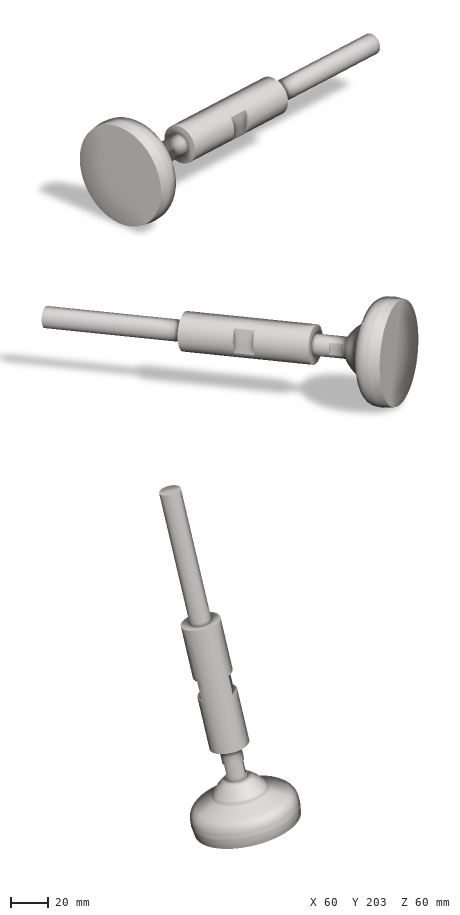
import cadquery as cq

TOTAL_LENGTH = 203.0

FOOT_RADIUS = 30.0
FOOT_BASE_RADIUS = 29.2
FOOT_TAPER_TOP = 6.0
FOOT_WALL_TOP = 9.1
WALL_TOP_RADIUS = 29.8
SHOULDER_RADIUS = 25.2
SHOULDER_HEIGHT = 15.5
SHOULDER_BULGE = (28.2, 13.2)
FLARE_RADIUS = 16.6
FLARE_HEIGHT = 19.5
DOME_BASE_RADIUS = 15.0
DOME_BASE_HEIGHT = 20.7
WAIST_BEND = (15.6, 19.9)
DOME_BULGE = (12.8, 23.8)
DOME_TOP_RADIUS = 10.0
DOME_TOP_HEIGHT = 26.5
LIP_RADIUS = 8.5
LIP_HEIGHT = 27.8
FOOT_HEIGHT = 28.2

SPINDLE_DIAMETER = 12.0
SPINDLE_FLATS_WIDTH = 10.0
SPINDLE_FLATS_LENGTH = 8.0
SPINDLE_FLATS_START = 30.0

SLEEVE_DIAMETER = 22.0
SLEEVE_START = 48.0
SLEEVE_LENGTH = 75.1
SLEEVE_FLATS_WIDTH = 17.0
SLEEVE_FLATS_LENGTH = 11.8
SLEEVE_FLATS_START = SLEEVE_START + (SLEEVE_LENGTH - SLEEVE_FLATS_LENGTH) / 2


def cylinder(diameter, start, length):
    """Cylinder along +Y whose lower end is at Y = start."""
    return cq.Workplane("XZ", origin=(0, start, 0)).circle(diameter / 2).extrude(-length)


def cut_flats(body, diameter, across_flats, start, length):
    """Cut a pair of wrench flats facing -X and +X."""
    depth = (diameter - across_flats) / 2
    for side in (-1, 1):
        cutter = cq.Workplane("XY").box(2 * depth, length, diameter).translate(
            (side * diameter / 2, start + length / 2, 0)
        )
        body = body.cut(cutter)
    return body


def make_foot():
    """Domed levelling foot with a lipped neck."""
    return (
        cq.Workplane("XY")
        .moveTo(0, 0)
        .lineTo(FOOT_BASE_RADIUS, 0)
        .lineTo(FOOT_RADIUS, FOOT_TAPER_TOP)
        .lineTo(WALL_TOP_RADIUS, FOOT_WALL_TOP)
        .threePointArc(SHOULDER_BULGE, (SHOULDER_RADIUS, SHOULDER_HEIGHT))
        .lineTo(FLARE_RADIUS, FLARE_HEIGHT)
        .threePointArc(WAIST_BEND, (DOME_BASE_RADIUS, DOME_BASE_HEIGHT))
        .threePointArc(DOME_BULGE, (DOME_TOP_RADIUS, DOME_TOP_HEIGHT))
        .lineTo(LIP_RADIUS, LIP_HEIGHT)
        .lineTo(SPINDLE_DIAMETER / 2, FOOT_HEIGHT)
        .lineTo(0, FOOT_HEIGHT)
        .close()
        .revolve(360, (0, 0, 0), (0, 1, 0))
    )


def make_spindle():
    """Plain rod with a pair of flats just above the foot."""
    rod = cylinder(SPINDLE_DIAMETER, FOOT_HEIGHT, TOTAL_LENGTH - FOOT_HEIGHT)
    return cut_flats(rod, SPINDLE_DIAMETER, SPINDLE_FLATS_WIDTH, SPINDLE_FLATS_START, SPINDLE_FLATS_LENGTH)


def make_sleeve():
    """Tube around the spindle with a pair of flats at mid-length."""
    bore = cylinder(SPINDLE_DIAMETER, SLEEVE_START, SLEEVE_LENGTH)
    tube = cylinder(SLEEVE_DIAMETER, SLEEVE_START, SLEEVE_LENGTH).cut(bore)
    return cut_flats(tube, SLEEVE_DIAMETER, SLEEVE_FLATS_WIDTH, SLEEVE_FLATS_START, SLEEVE_FLATS_LENGTH)


foot = make_foot()
spindle = make_spindle()
sleeve = make_sleeve()

result = cq.Compound.makeCompound([foot.val(), spindle.val(), sleeve.val()])